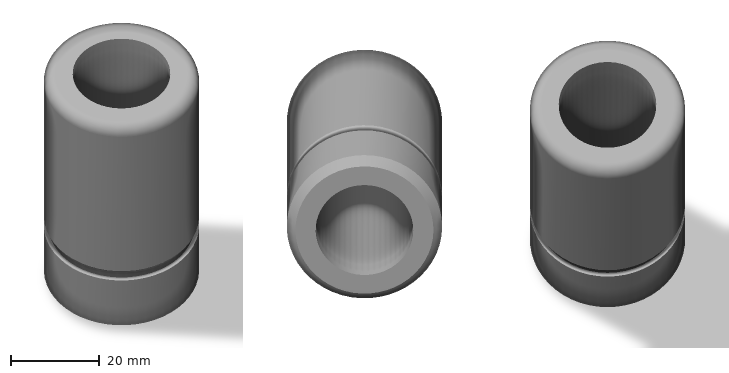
import cadquery as cq
import math

height = 65.0
outer_diameter = 35.0
bore_diameter = 22.0
top_round = 2.55
bottom_chamfer = 1.95

groove_bottom = 16.3
groove_width = 3.0
groove_depth = 1.0

outer_radius = outer_diameter / 2
bore_radius = bore_diameter / 2


def sleeve_body():
    """Hollow cylinder with a rounded top rim and a chamfered bottom rim."""
    body = cq.Workplane("XY").circle(outer_radius).extrude(height)
    body = body.faces(">Z").edges().fillet(top_round)
    body = body.faces("<Z").edges().chamfer(bottom_chamfer)
    bore = cq.Workplane("XY").circle(bore_radius).extrude(height)
    return body.cut(bore)


def relief_groove():
    """Ring to cut away, its arc starting parallel to the axis at the groove floor."""
    floor_radius = outer_radius - groove_depth
    groove_top = groove_bottom + groove_width
    arc_radius = (groove_width**2 + groove_depth**2) / (2 * groove_depth)
    half_sweep = math.asin(groove_width / arc_radius) / 2
    arc_middle = (
        floor_radius + arc_radius * (1 - math.cos(half_sweep)),
        groove_bottom + arc_radius * math.sin(half_sweep),
    )
    return (
        cq.Workplane("XZ")
        .moveTo(outer_radius, groove_bottom)
        .lineTo(floor_radius, groove_bottom)
        .threePointArc(arc_middle, (outer_radius, groove_top))
        .close()
        .revolve(360, (0, 0, 0), (0, 1, 0))
    )


result = sleeve_body().cut(relief_groove())